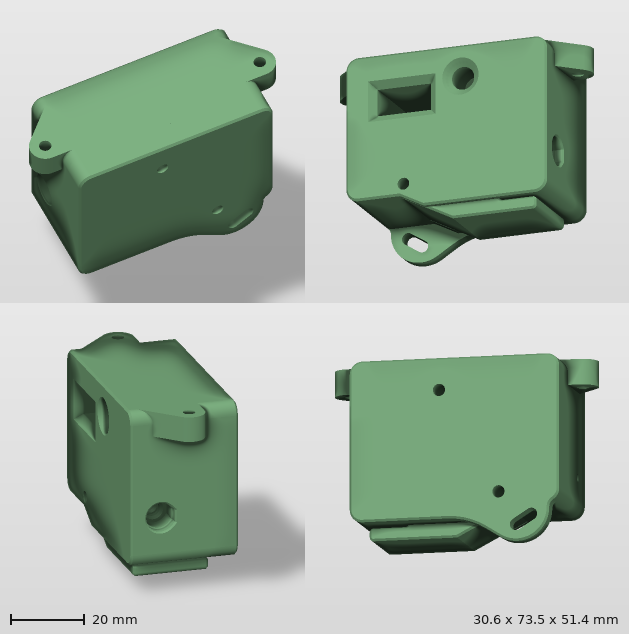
import cadquery as cq
import math


total_depth = 30.6
housing_depth = 23.6
case_length = 58.55
case_height = 44.4
corner_radius = 3.5
edge_chamfer = 0.6
clearance_diameter = 3.4

step_height = 3.5
ramp_top_y = 13.7
ramp_bottom_y = 6.8

total_length = 73.55
tab_radius = 4.4
tab_thickness = 7.05
tab_x = 15.6
tab_y = total_length / 2 - tab_radius
tab_side_x = tab_x + tab_radius

window_y = 12.95
window_z = 31.4
window_length = 15.6
window_height = 7.5
window_bevel = 2.05

screw_y = -4.2
screw_z = 35.5
counterbore_diameter = 6.5
counterbore_depth = 11.8
counterbore_bevel = 2.05

bore_x = 8.6
bore_z = 13.75
mouth_radius = 4.55
entry_radius = 4.1
seat_radius = 3.8
entry_depth = 2.5
seat_depth = 7.35
funnel_radius = 2.9
throat_radius = 2.1
neck_radius = 1.7
feed_radius = 1.0
throat_depth = 1.5

pivot_y = 12.4
pivot_z = 6.8
lever_start_x = 2.0
lever_width = 21.3
lever_bottom_z = -4.0
lever_top_z = -0.45
lever_end_y = -25.45
web_y = -14.6
lever_end_radius = 1.1
web_fillet = 1.0

ear_thickness = 4.1
ear_radius = 8.9
ear_drop = 7.05
ear_y = 17.6
ear_z = ear_radius - ear_drop
ear_angle = math.radians(32)
ear_outer_fillet = 2.5
ear_inner_fillet = 19.85
slot_y = 19.4
slot_z = -1.2
slot_travel = 5.0

ramp_slope = step_height / (ramp_top_y - ramp_bottom_y)


def along_x(start_x):
    """YZ sketch plane at the given X."""
    return cq.Workplane("YZ", origin=(start_x, 0, 0))


def through_hole(y, z):
    """Cutter for a screw or pivot hole through the whole depth of the case."""
    return along_x(0).center(y, z).circle(clearance_diameter / 2).extrude(total_depth)


def case_block(start_x, depth):
    """Slice of the case: rounded rectangle with a stepped underside."""
    end_y = case_length / 2
    block = (
        along_x(start_x)
        .moveTo(-end_y, 0)
        .lineTo(ramp_bottom_y, 0)
        .lineTo(ramp_top_y, step_height)
        .lineTo(end_y, step_height)
        .lineTo(end_y, case_height)
        .lineTo(-end_y, case_height)
        .close()
        .extrude(depth)
    )
    return block.edges("|X").edges("<Y or >Y").fillet(corner_radius)


def mounting_tab():
    """Tab at the +Y end: round nose, straight +X side and 45 degree -X side."""
    root_y = case_length / 2 - corner_radius
    tangent = tab_radius * math.sqrt(0.5)
    root_x = tab_x - tangent - (tab_y + tangent - root_y)
    return (
        cq.Workplane("XY", origin=(0, 0, case_height - tab_thickness))
        .moveTo(root_x, root_y)
        .lineTo(tab_x - tangent, tab_y + tangent)
        .threePointArc((tab_x + tangent, tab_y + tangent), (tab_side_x, tab_y))
        .lineTo(tab_side_x, root_y)
        .close()
        .extrude(tab_thickness)
        .cut(
            cq.Workplane("XY", origin=(tab_x, tab_y, 0))
            .circle(clearance_diameter / 2)
            .extrude(case_height)
        )
    )


def window_cutter():
    """Rectangular opening through the housing, bevelled at 45 degrees on the face."""
    opening = (
        along_x(0).center(window_y, window_z).rect(window_length, window_height).extrude(housing_depth)
    )
    bevel = (
        along_x(0)
        .center(window_y, window_z)
        .rect(window_length + 2 * window_bevel, window_height + 2 * window_bevel)
        .workplane(offset=window_bevel)
        .rect(window_length, window_height)
        .loft(ruled=True)
    )
    return opening.union(bevel)


def counterbore_cutter():
    """Screw counterbore widening at 45 degrees towards the face."""
    radius = counterbore_diameter / 2
    profile = (
        cq.Workplane("XY")
        .moveTo(0, 0)
        .lineTo(0, radius + counterbore_bevel)
        .lineTo(counterbore_bevel, radius)
        .lineTo(counterbore_depth, radius)
        .lineTo(counterbore_depth, 0)
        .close()
    )
    return profile.revolve(360, (0, 0, 0), (1, 0, 0)).translate((0, screw_y, screw_z))


def teardrop(plane, radius):
    """Circle whose +X side is bounded by 45 degree tangents and a flat at x = radius."""
    tangent = radius * math.sqrt(0.5)
    half_flat = radius * (math.sqrt(2) - 1)
    return (
        plane.moveTo(tangent, tangent)
        .threePointArc((-radius, 0), (tangent, -tangent))
        .lineTo(radius, -half_flat)
        .lineTo(radius, half_flat)
        .close()
    )


def feed_bore_cutter():
    """Teardrop entry from the -Y end, then a stepped round funnel and the through hole."""
    def section(depth):
        return cq.Workplane("XZ", origin=(bore_x, depth - case_length / 2, bore_z))

    def teardrop_cone(depth, wide, narrow):
        start = teardrop(section(depth), wide)
        return teardrop(start.workplane(offset=narrow - wide), narrow).loft(ruled=True)

    mouth = teardrop_cone(0, mouth_radius, entry_radius)
    entry = teardrop(section(0), entry_radius).extrude(-entry_depth)
    shoulder = teardrop_cone(entry_depth, entry_radius, seat_radius)
    seat = teardrop(section(0), seat_radius).extrude(-seat_depth)

    throat_start = seat_depth + funnel_radius - throat_radius
    throat_end = throat_start + throat_depth
    neck_end = throat_end + neck_radius - feed_radius
    funnel = (
        cq.Workplane("XY")
        .moveTo(0, seat_depth)
        .lineTo(funnel_radius, seat_depth)
        .lineTo(throat_radius, throat_start)
        .lineTo(throat_radius, throat_end)
        .lineTo(neck_radius, throat_end)
        .lineTo(feed_radius, neck_end)
        .lineTo(feed_radius, case_length)
        .lineTo(0, case_length)
        .close()
        .revolve(360, (0, 0, 0), (0, 1, 0))
        .translate((bore_x, -case_length / 2, bore_z))
    )
    return mouth.union(entry).union(shoulder).union(seat).union(funnel)


def lever_blank():
    """Lever before its edges are chamfered: pressing plate, web and round pivot boss."""
    slope_angle = math.atan(ramp_slope)
    ramp_z_at_pivot = ramp_slope * (pivot_y - ramp_bottom_y)
    boss_radius = (pivot_z - ramp_z_at_pivot) * math.cos(slope_angle)
    under_y = pivot_y + boss_radius * math.sin(slope_angle)
    under_z = pivot_z - boss_radius * math.cos(slope_angle)
    plate_start_y = ramp_bottom_y + lever_bottom_z / ramp_slope
    blank = (
        along_x(lever_start_x)
        .moveTo(under_y, under_z)
        .threePointArc((pivot_y + boss_radius, pivot_z), (pivot_y, pivot_z + boss_radius))
        .lineTo(web_y, pivot_z + boss_radius)
        .lineTo(web_y, lever_top_z)
        .lineTo(lever_end_y, lever_top_z)
        .lineTo(lever_end_y, lever_bottom_z)
        .lineTo(plate_start_y, lever_bottom_z)
        .close()
        .extrude(lever_width)
    )
    blank = blank.edges("|X").edges("<Y").fillet(lever_end_radius)
    web_corner = cq.selectors.NearestToPointSelector(
        (lever_start_x + lever_width / 2, web_y, lever_top_z)
    )
    return blank.edges("|X").edges(web_corner).fillet(web_fillet)


def make_lever():
    """Lever with chamfered sides and a pivot hole."""
    return lever_blank().faces("<X or >X").chamfer(edge_chamfer).cut(through_hole(pivot_y, pivot_z))


def make_housing():
    """Housing with its mounting tabs, openings and the recess that holds the lever."""
    tab = mounting_tab()
    return (
        case_block(0, housing_depth)
        .faces("<X")
        .chamfer(edge_chamfer)
        .union(tab)
        .union(tab.mirror("XZ"))
        .cut(window_cutter())
        .cut(counterbore_cutter())
        .cut(through_hole(screw_y, screw_z))
        .cut(through_hole(pivot_y, pivot_z))
        .cut(feed_bore_cutter())
        .cut(lever_blank())
    )


def ear_plate(start_x):
    """Back plate of the cover: case outline with the ear blended into its underside."""
    tangent_y = ear_y - ear_radius * math.sin(ear_angle)
    tangent_z = ear_z - ear_radius * math.cos(ear_angle)
    crossing_y = tangent_y + tangent_z / math.tan(ear_angle)
    inside_z = case_height / 2
    ear = (
        along_x(start_x)
        .moveTo(ear_y + ear_radius, inside_z)
        .lineTo(ear_y + ear_radius, ear_z)
        .threePointArc((ear_y, -ear_drop), (tangent_y, tangent_z))
        .lineTo(crossing_y, 0)
        .lineTo(crossing_y, inside_z)
        .close()
        .extrude(ear_thickness)
    )
    plate = case_block(start_x, ear_thickness).union(ear)
    middle_x = start_x + ear_thickness / 2
    blends = (
        (ear_y + ear_radius, step_height, ear_outer_fillet),
        (crossing_y, 0, ear_inner_fillet),
    )
    for y, z, radius in blends:
        corner = cq.selectors.NearestToPointSelector((middle_x, y, z))
        plate = plate.edges("|X").edges(corner).fillet(radius)
    return plate.faces(">X").chamfer(edge_chamfer)


def make_cover():
    """Cover closing the +X side, with a slotted ear."""
    ear_start_x = total_depth - ear_thickness
    slot = (
        along_x(ear_start_x)
        .center(slot_y, slot_z)
        .slot2D(slot_travel + clearance_diameter, clearance_diameter, math.degrees(ear_angle))
        .extrude(ear_thickness)
    )
    return (
        case_block(housing_depth, ear_start_x - housing_depth)
        .union(ear_plate(ear_start_x))
        .cut(slot)
        .cut(through_hole(screw_y, screw_z))
        .cut(through_hole(pivot_y, pivot_z))
    )


housing = make_housing()
cover = make_cover()
lever = make_lever()

result = cq.Compound.makeCompound([housing.val(), cover.val(), lever.val()])